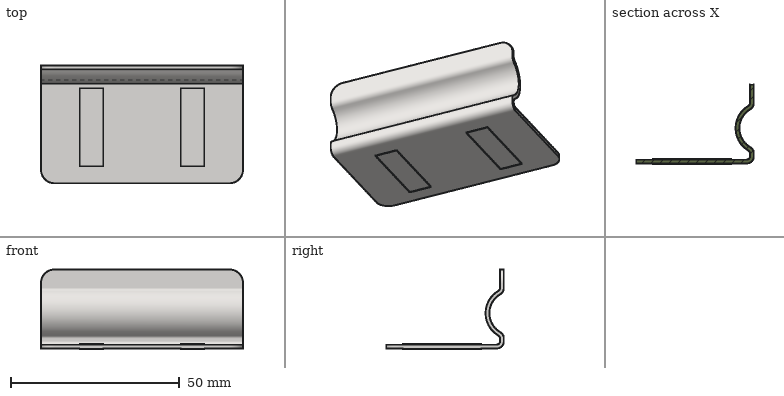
import cadquery as cq
import math

width = 60.0
depth = 35.0
sheet_height = 23.5
thickness = 1.2
corner_radius = 4.0

bend_inner = 1.0
bend_outer = bend_inner + thickness
bend_y = -bend_outer

bulge_inner = 6.5
bulge_outer = bulge_inner + thickness
bulge_reach = 5.5
bulge_height = 10.5
bulge_y = bulge_outer - bulge_reach

bulge_to_bend = bulge_outer + bend_inner
side_bend_rise = math.sqrt(bulge_to_bend**2 - (bulge_y - bend_y) ** 2)
tangent_angle = math.atan2(side_bend_rise, bulge_y - bend_y)

pad_width = 7.0
pad_length = 23.2
pad_spacing = 30.0
pad_front_gap = 5.0
pad_proud = 0.2


def point_on(center, radius, angle):
    """Point on a circle in the YZ plane, angle measured from -Y toward +Z."""
    y, z = center
    return (y - radius * math.cos(angle), z + radius * math.sin(angle))


def make_sheet():
    bulge = (bulge_y, bulge_height)
    lower = (bend_y, bulge_height - side_bend_rise)
    upper = (bend_y, bulge_height + side_bend_rise)
    base_bend = (bend_y, bend_outer)

    bend_end = math.pi - tangent_angle
    bend_middle = (math.pi + bend_end) / 2
    base_bend_middle = -math.pi * 3 / 4

    back = (
        cq.Workplane("YZ")
        .moveTo(-depth, 0)
        .lineTo(bend_y, 0)
        .threePointArc(point_on(base_bend, bend_outer, base_bend_middle), (0, bend_outer))
        .lineTo(0, lower[1])
        .threePointArc(point_on(lower, bend_outer, bend_middle), point_on(lower, bend_outer, bend_end))
        .threePointArc(point_on(bulge, bulge_inner, 0), point_on(bulge, bulge_inner, tangent_angle))
        .threePointArc(point_on(upper, bend_outer, -bend_middle), (0, upper[1]))
        .lineTo(0, sheet_height)
    )
    profile = (
        back.lineTo(-thickness, sheet_height)
        .lineTo(-thickness, upper[1])
        .threePointArc(point_on(upper, bend_inner, -bend_middle), point_on(upper, bend_inner, -bend_end))
        .threePointArc(point_on(bulge, bulge_outer, 0), point_on(bulge, bulge_outer, -tangent_angle))
        .threePointArc(point_on(lower, bend_inner, bend_middle), (-thickness, lower[1]))
        .lineTo(-thickness, bend_outer)
        .threePointArc(point_on(base_bend, bend_inner, base_bend_middle), (bend_y, thickness))
        .lineTo(-depth, thickness)
        .close()
    )
    return profile.extrude(width / 2, both=True)


def round_corners(sheet):
    sheet = sheet.faces("<Y").edges("|Z").fillet(corner_radius)
    return sheet.faces(">Z").edges("|Y").fillet(corner_radius)


def make_pads():
    pad_y = -depth + pad_front_gap + pad_length / 2
    return (
        cq.Workplane("XY", origin=(0, pad_y, -pad_proud))
        .pushPoints([(-pad_spacing / 2, 0), (pad_spacing / 2, 0)])
        .rect(pad_width, pad_length)
        .extrude(thickness + 2 * pad_proud)
    )


result = round_corners(make_sheet()).union(make_pads())